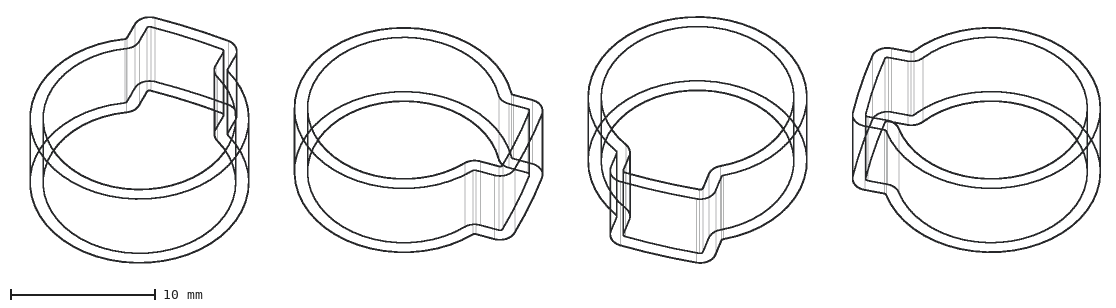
import cadquery as cq
import math

ring_radius = 7.55
wall = 0.9
height = 6.5

ear_half_width = 3.78
ear_top = 9.23
crown_radius = 41.98
tight_bend_radius = 0.2


def fillet_pair(body, x, y, radius):
    """Round the two upright edges at (-x, y) and (x, y)."""
    for side in (-1, 1):
        edge = cq.selectors.NearestToPointSelector((side * x, y, height / 2))
        body = body.edges("|Z").edges(edge).fillet(radius)
    return body


def clamp_body(inset, corner_radius, foot_radius):
    """Solid disc with its ear, set in from the outside of the strip by inset."""
    radius = ring_radius - inset
    half_width = ear_half_width - inset
    crown = crown_radius - inset
    crown_center = ear_top - crown_radius

    disc = cq.Workplane("XY").circle(radius).extrude(height)
    ear = cq.Workplane("XY").center(0, ear_top / 2).rect(2 * half_width, ear_top).extrude(height)
    dome = cq.Workplane("XY").center(0, crown_center).circle(crown).extrude(height)
    body = disc.union(ear.intersect(dome))

    corner_y = crown_center + math.sqrt(crown**2 - half_width**2)
    foot_y = math.sqrt(radius**2 - half_width**2)
    body = fillet_pair(body, half_width, corner_y, corner_radius)
    return fillet_pair(body, half_width, foot_y, foot_radius)


wide_bend_radius = tight_bend_radius + wall
outside = clamp_body(0, wide_bend_radius, tight_bend_radius)
opening = clamp_body(wall, tight_bend_radius, wide_bend_radius)

result = outside.cut(opening)